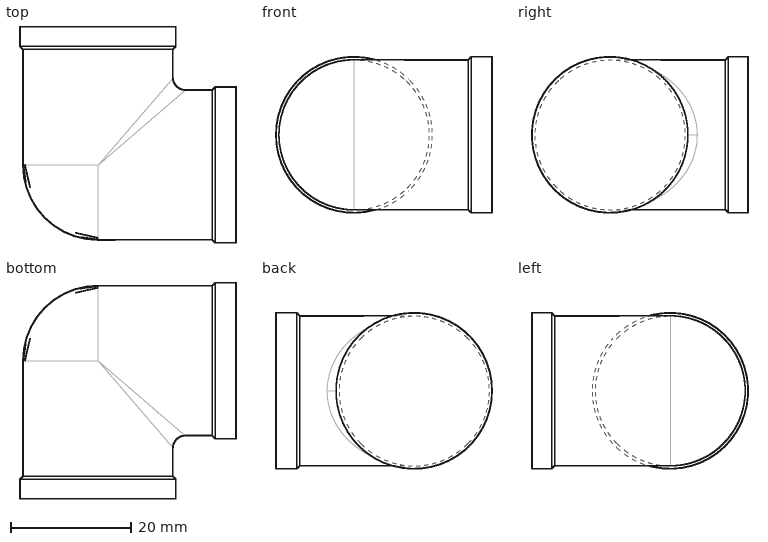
import cadquery as cq

overall_length = 36.0
collar_diameter = 26.0
pipe_diameter = 25.0
x_collar_length = 4.0
y_collar_length = 3.78
crotch_radius = 2.0

collar_radius = collar_diameter / 2
pipe_radius = pipe_diameter / 2
arm_length = overall_length - collar_radius
shoulder = collar_radius - pipe_radius


def straight_arm():
    """Plain pipe arm running from the origin along +X."""
    return cq.Workplane("YZ").circle(pipe_radius).extrude(arm_length)


def end_collar(length):
    """Collar at the end of the +X arm, with a 45 degree shoulder on its inner edge."""
    collar = cq.Workplane("YZ", origin=(arm_length - length, 0, 0))
    return collar.circle(collar_radius).extrude(length).faces("<X").chamfer(shoulder)


def turned_to_y(shape):
    """Shape built along +X, turned to run along +Y."""
    return shape.rotate((0, 0, 0), (0, 0, 1), 90)


pipes = straight_arm().union(turned_to_y(straight_arm()))
pipes = pipes.edges("%ELLIPSE").fillet(crotch_radius)

outer_corner = cq.Workplane("XY").sphere(pipe_radius)

result = (
    pipes.union(outer_corner)
    .union(end_collar(x_collar_length))
    .union(turned_to_y(end_collar(y_collar_length)))
)